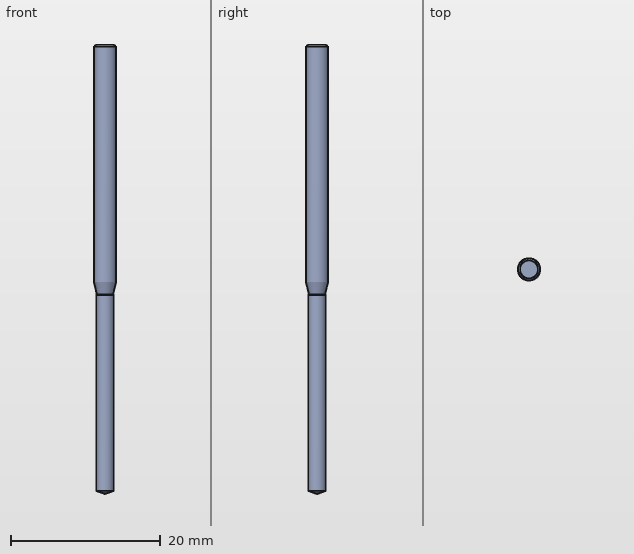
import cadquery as cq

total_length = 60.0
shank_diameter = 3.0
cutter_diameter = 2.35

shank_bottom = 28.3
cutter_top = 26.7
point_height = 0.4
end_chamfer = 0.3
taper_bottom_diameter = 2.2
cutter_bevel_height = 0.2

shank_radius = shank_diameter / 2
cutter_radius = cutter_diameter / 2


def revolve_profile(points):
    """Revolve a closed (radius, height) outline about the Z axis."""
    return cq.Workplane("XZ").polyline(points).close().revolve(360, (0, 0), (0, 1))


def make_shank():
    """Chamfered cylindrical shank with a taper leading down to the cutter."""
    return revolve_profile([
        (0, cutter_top),
        (taper_bottom_diameter / 2, cutter_top),
        (shank_radius, shank_bottom),
        (shank_radius, total_length - end_chamfer),
        (shank_radius - end_chamfer, total_length),
        (0, total_length),
    ])


def make_cutter():
    """Cylindrical cutting section with a conical point and a bevelled top edge."""
    return revolve_profile([
        (0, 0),
        (cutter_radius, point_height),
        (cutter_radius, cutter_top - cutter_bevel_height),
        (taper_bottom_diameter / 2, cutter_top),
        (0, cutter_top),
    ])


shank = make_shank()
cutter = make_cutter()

result = cq.Compound.makeCompound([shank.val(), cutter.val()])